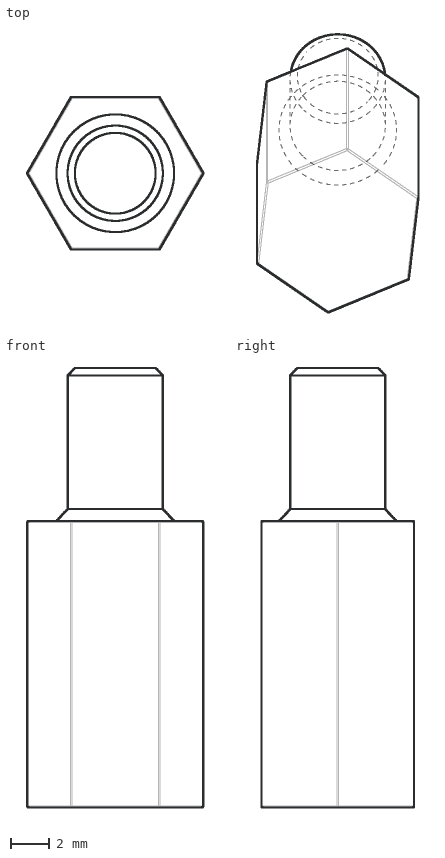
import cadquery as cq
import math

total_height = 23.0
hex_height = 15.0
across_flats = 8.0
edge_radius = 0.1
stud_diameter = 5.0
stud_radius = stud_diameter / 2
tip_radius = 2.12
tip_chamfer_height = 0.4
collar_radius = 3.08
collar_height = 0.62


def hex_body():
    """Hexagonal prism, corners on the X axis, with all edges slightly rounded."""
    across_corners = across_flats / math.cos(math.pi / 6)
    prism = cq.Workplane("XY").polygon(6, across_corners).extrude(hex_height)
    return prism.edges().fillet(edge_radius)


def stud():
    """Round stud with a conical collar at its root and a chamfered tip."""
    profile = [
        (0, hex_height),
        (collar_radius, hex_height),
        (stud_radius, hex_height + collar_height),
        (stud_radius, total_height - tip_chamfer_height),
        (tip_radius, total_height),
        (0, total_height),
    ]
    return cq.Workplane("XZ").polyline(profile).close().revolve(360, (0, 0), (0, 1))


result = hex_body().union(stud())